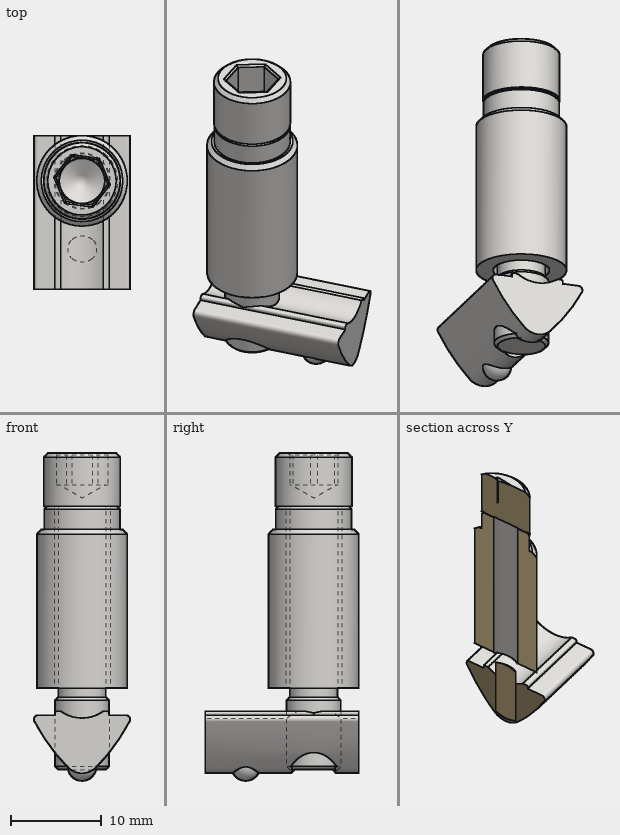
import cadquery as cq
import math


SLEEVE_DIA = 10.0
SLEEVE_BOTTOM = 10.25
SLEEVE_SHOULDER = 27.8
SLEEVE_CHAMFER = 0.5
COLLAR_DIA = 8.4
COLLAR_CHAMFER = 0.3
BORE_DIA = 6.2

SCREW_TOP = 36.25
SCREW_BOTTOM = 1.27
HEAD_DIA = 8.5
HEAD_BOTTOM = 30.35
HEAD_CHAMFER = 0.47
NECK_DIA = 5.3
THREAD_DIA = 6.0
THREAD_TOP = 9.28
THREAD_CHAMFER = (THREAD_DIA - NECK_DIA) / 2
HEX_FLATS = 5.0
HEX_MOUTH_FLATS = 5.45
HEX_MOUTH_DEPTH = 0.2
HEX_DEPTH = 3.5
HEX_ANGLE = -7.5
DRILL_POINT_ANGLE = 120.0

NUT_LENGTH = 17.0
NUT_BACK = SLEEVE_DIA / 2
NUT_WIDTH = 10.65
NUT_BOTTOM = 0.87
NUT_SHOULDER = 7.3
CORNER_RADIUS = 0.47
CORNER_SWEEP_END = -30.0
FLANK_MIDDLE = (3.05, 3.2)
FLANK_END = (1.45, 1.4)
RIB_WIDTH = THREAD_DIA
RIB_TOP = 7.72
RIB_ROUND = 0.2
TAP_HOLE_DIA = 4.93
GROOVE_WIDTH = 4.7
GROOVE_DEPTH = 0.75
BALL_RADIUS = 1.6
BALL_Y = -7.5


def cylinder(diameter, bottom, top):
    """Upright cylinder on the Z axis."""
    return cq.Workplane("XY").workplane(offset=bottom).circle(diameter / 2).extrude(top - bottom)


def hexagon(flats, z):
    """Hexagon sketched at height z, sized across its flats."""
    across_corners = flats / math.cos(math.radians(30))
    plane = cq.Workplane("XY").workplane(offset=z)
    return plane.transformed(rotate=(0, 0, HEX_ANGLE)).polygon(6, across_corners)


def make_sleeve():
    body = cylinder(SLEEVE_DIA, SLEEVE_BOTTOM, SLEEVE_SHOULDER).faces(">Z").chamfer(SLEEVE_CHAMFER)
    collar = cylinder(COLLAR_DIA, SLEEVE_SHOULDER, HEAD_BOTTOM).faces(">Z").chamfer(COLLAR_CHAMFER)
    bore = cylinder(BORE_DIA, SLEEVE_BOTTOM, HEAD_BOTTOM)
    return body.union(collar).cut(bore)


def make_hex_socket():
    """Hexagonal recess with a bevelled mouth and a conical floor."""
    floor = SCREW_TOP - HEX_DEPTH
    prism = hexagon(HEX_FLATS, floor).extrude(HEX_DEPTH)
    mouth = (
        hexagon(HEX_FLATS, SCREW_TOP - HEX_MOUTH_DEPTH)
        .workplane(offset=HEX_MOUTH_DEPTH)
        .polygon(6, HEX_MOUTH_FLATS / math.cos(math.radians(30)))
        .loft(ruled=True)
    )
    cone_radius = HEX_FLATS / 2
    cone_depth = cone_radius / math.tan(math.radians(DRILL_POINT_ANGLE / 2))
    drill_point = (
        cq.Workplane("XZ")
        .moveTo(0, floor - cone_depth)
        .lineTo(cone_radius, floor)
        .lineTo(0, floor)
        .close()
        .revolve(360, (0, 0), (0, 1))
    )
    return prism.union(mouth).union(drill_point)


def make_screw():
    head = cylinder(HEAD_DIA, HEAD_BOTTOM, SCREW_TOP).faces(">Z").chamfer(HEAD_CHAMFER)
    neck = cylinder(NECK_DIA, THREAD_TOP, HEAD_BOTTOM)
    thread = cylinder(THREAD_DIA, SCREW_BOTTOM, THREAD_TOP).faces("<Z or >Z").chamfer(THREAD_CHAMFER)
    return head.union(neck).union(thread).cut(make_hex_socket())


def make_nut_bar():
    """Solid bar with curved flanks, a rounded keel and a grooved rib on top."""
    corner_x = NUT_WIDTH / 2 - CORNER_RADIUS
    corner_z = NUT_SHOULDER - CORNER_RADIUS

    def on_corner(degrees, side):
        angle = math.radians(degrees)
        return (
            side * (corner_x + CORNER_RADIUS * math.cos(angle)),
            corner_z + CORNER_RADIUS * math.sin(angle),
        )

    rib_x = RIB_WIDTH / 2
    groove_x = GROOVE_WIDTH / 2
    flank_x, flank_z = FLANK_MIDDLE
    end_x, end_z = FLANK_END
    outline = (
        cq.Workplane("XZ", origin=(0, NUT_BACK, 0))
        .moveTo(-groove_x, RIB_TOP)
        .threePointArc((0, RIB_TOP - GROOVE_DEPTH), (groove_x, RIB_TOP))
        .lineTo(rib_x - RIB_ROUND, RIB_TOP)
        .radiusArc((rib_x, RIB_TOP - RIB_ROUND), RIB_ROUND)
        .lineTo(rib_x, NUT_SHOULDER)
        .lineTo(corner_x, NUT_SHOULDER)
        .threePointArc(on_corner(0, 1), on_corner(CORNER_SWEEP_END, 1))
        .threePointArc((flank_x, flank_z), (end_x, end_z))
        .threePointArc((0, NUT_BOTTOM), (-end_x, end_z))
        .threePointArc((-flank_x, flank_z), on_corner(CORNER_SWEEP_END, -1))
        .threePointArc(on_corner(0, -1), (-corner_x, NUT_SHOULDER))
        .lineTo(-rib_x, NUT_SHOULDER)
        .lineTo(-rib_x, RIB_TOP - RIB_ROUND)
        .radiusArc((-rib_x + RIB_ROUND, RIB_TOP), RIB_ROUND)
        .close()
    )
    return outline.extrude(NUT_LENGTH)


def make_nut():
    ball = cq.Workplane("XY").sphere(BALL_RADIUS).translate((0, BALL_Y, BALL_RADIUS))
    tap_hole = cylinder(TAP_HOLE_DIA, 0, RIB_TOP)
    return make_nut_bar().union(ball).cut(tap_hole).cut(make_screw())


sleeve = make_sleeve()
screw = make_screw()
nut = make_nut()

result = cq.Compound.makeCompound([sleeve.val(), screw.val(), nut.val()])